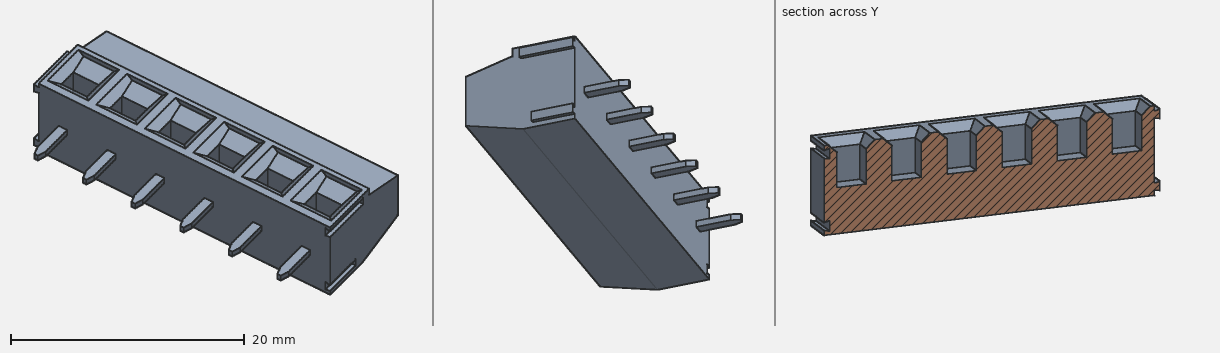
import cadquery as cq

pole_count = 6
total_length = 30.98
rail_depth = 0.5
body_length = total_length - rail_depth
pitch = body_length / pole_count
body_depth = 10.1
body_height = 8.1

head_depth = 5.8
head_step = 0.75
back_top_drop = 1.85
back_top = body_height - back_top_drop
back_bottom = 1.43
base_depth = 4.8

rail_tip_width = 0.87
rail_root_width = 0.68
rail_edge_offset = 0.37
upper_rail_length = 4.95
lower_rail_length = 3.85

funnel_width = 4.25
funnel_front = 0.75
funnel_back = 5.33
funnel_depth = 0.75
funnel_back_drop = 0.5
hole_width = 2.65
hole_front = 1.67
hole_back = 3.45

pin_length = 4.0
pin_width = 0.9
pin_thickness = 0.6
pin_center_z = 3.9
pin_tip_width = 0.37
pin_taper_length = 0.8

hole_floor = pin_center_z + pin_thickness / 2

pole_positions = [(index + 0.5) * pitch for index in range(pole_count)]


def make_housing():
    return (
        cq.Workplane("YZ")
        .moveTo(0, 0)
        .lineTo(base_depth, 0)
        .lineTo(body_depth, back_bottom)
        .lineTo(body_depth, back_top)
        .lineTo(head_depth, body_height - head_step)
        .lineTo(head_depth, body_height)
        .lineTo(0, body_height)
        .close()
        .extrude(body_length)
    )


def make_dovetail(root_x, center_z, length):
    """Dovetail bar running back from the front face, widening towards -X."""
    tip_x = root_x - rail_depth
    half_root = rail_root_width / 2
    half_tip = rail_tip_width / 2
    return (
        cq.Workplane("XZ")
        .polyline([
            (root_x, center_z - half_root),
            (root_x, center_z + half_root),
            (tip_x, center_z + half_tip),
            (tip_x, center_z - half_tip),
        ])
        .close()
        .extrude(-length)
    )


def make_dovetail_pair(root_x):
    edge_to_center = rail_edge_offset + rail_tip_width / 2
    upper = make_dovetail(root_x, body_height - edge_to_center, upper_rail_length)
    lower = make_dovetail(root_x, edge_to_center, lower_rail_length)
    return upper.add(lower).combine()


def make_wire_entry(center_x):
    """Solid to remove for one wire entry."""
    funnel_floor = body_height - funnel_depth
    top_span = funnel_back - funnel_front
    floor_span = funnel_back - hole_front

    taper = (
        cq.Workplane("XY", origin=(center_x, 0, body_height))
        .center(0, funnel_front + top_span / 2)
        .rect(funnel_width, top_span)
        .workplane(offset=-funnel_depth)
        .center(0, (hole_front - funnel_front) / 2)
        .rect(hole_width, floor_span)
        .loft(ruled=True)
    )

    ramp_profile = (
        cq.Workplane("YZ", origin=(center_x - funnel_width / 2, 0, 0))
        .polyline([
            (funnel_front, funnel_floor),
            (funnel_front, body_height),
            (funnel_back, body_height),
            (funnel_back, body_height - funnel_back_drop),
            (hole_back, funnel_floor),
        ])
        .close()
        .extrude(funnel_width)
    )

    hole = (
        cq.Workplane("XY", origin=(center_x, (hole_front + hole_back) / 2, hole_floor))
        .rect(hole_width, hole_back - hole_front)
        .extrude(funnel_floor - hole_floor)
    )
    return taper.intersect(ramp_profile).union(hole)


def make_pin(center_x):
    half_width = pin_width / 2
    half_tip = pin_tip_width / 2
    shoulder_y = pin_taper_length - pin_length
    return (
        cq.Workplane("XY", origin=(center_x, 0, pin_center_z - pin_thickness / 2))
        .polyline([
            (-half_width, 0),
            (half_width, 0),
            (half_width, shoulder_y),
            (half_tip, -pin_length),
            (-half_tip, -pin_length),
            (-half_width, shoulder_y),
        ])
        .close()
        .extrude(pin_thickness)
    )


result = make_housing()
result = result.union(make_dovetail_pair(0))
result = result.cut(make_dovetail_pair(body_length))
for pole_x in pole_positions:
    result = result.cut(make_wire_entry(pole_x))
    result = result.union(make_pin(pole_x))